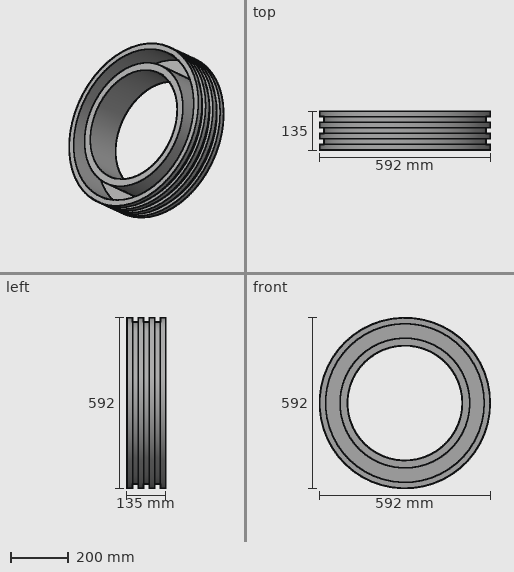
import cadquery as cq

outer_diameter = 592.0
bore_diameter = 397.0
width = 135.0

groove_diameter = 562.5
groove_count = 3
band_width = width / (2 * groove_count + 1)

recess_outer_diameter = 550.0
recess_inner_diameter = 450.0
floor_thickness = 10.0
recess_depth = width - floor_thickness


def ring(outer, inner, start, length):
    """Ring around the Y axis, running from Y = start toward +Y."""
    front_plane = cq.Workplane("XZ", origin=(0, start, 0))
    return front_plane.circle(outer / 2).circle(inner / 2).extrude(-length)


front_face = -width / 2
result = ring(outer_diameter, bore_diameter, front_face, width)

for index in range(groove_count):
    groove_start = front_face + (2 * index + 1) * band_width
    result = result.cut(ring(outer_diameter, groove_diameter, groove_start, band_width))

result = result.cut(ring(recess_outer_diameter, recess_inner_diameter, front_face, recess_depth))